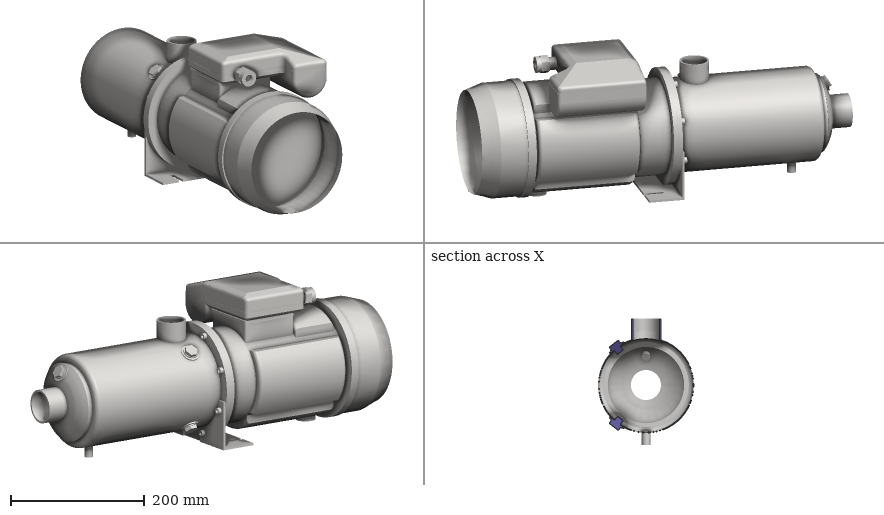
import cadquery as cq
import math

base_z = -90.0

inlet_diameter = 50.8
inlet_bore = 44.84
dome_start = 31.2
dome_middle = (36.8, 45.0)
dome_end = 46.5
dome_radius = 59.7
collar_radius = 58.6
barrel_start = 54.0
barrel_radius = 71.6
barrel_edge_radius = 7.3
barrel_bore = 140.0
barrel_wall = barrel_radius - barrel_bore / 2
casing_flange_start = 278.2
casing_flange_end = 286.8
flange_diameter = 176.5
outlet_x = 238.1
outlet_diameter = 44.5
outlet_bore = 38.95
outlet_top = 99.5
drain_x = 88.0
drain_diameter = 13.0

screw_count = 8
screw_circle_radius = 80.7
screw_head_diameter = 10.0
screw_head_length = 5.3
screw_shank_diameter = 7.0
screw_socket_width = 5.0
screw_socket_depth = 3.0

plug_washer_diameter = 27.5
plug_washer_length = 2.0
plug_collar_diameter = 21.0
plug_collar_length = 1.5
plug_hex_corners = 20.4
plug_hex_length = 5.0
plug_shank_diameter = 13.0
plug_shank_length = 8.0
plug_seat_depth = 1.0
side_plug_x = 241.5
side_plug_angle = 52.0
dome_plug_seat = (37.8, 46.5)
dome_plug_tilt = 32.0

bracket_thickness = 3.5
bracket_half_width = 84.4
bracket_top = -15.4
bracket_bore_radius = 73.5
bracket_foot_end = 329.3
foot_slot_width = 7.0
foot_slot_y = 53.0
foot_slot_length = 30.0
window_width = 45.0
window_top = -77.7

adapter_flange_end = 292.2
adapter_radius = 73.0
adapter_end = 340.0
neck_radius = 72.0
panel_start = 342.3
panel_end = 498.8
panel_half_width = 48.2
panel_crown = 83.8
panel_edge_height = 67.0
panel_end_fillet = 5.5
pad_x = 481.5
pad_diameter = 30.0
pad_neck_diameter = 10.0

pedestal_end = 430.5
pedestal_half_width = 44.0
pedestal_corner = 3.5
pedestal_top = 86.5
pedestal_lip = 1.2
box_start = 340.4
box_end = 447.3
box_front = -49.0
box_back = 114.75
box_bottom = 91.0
box_seam = 106.3
box_top = 131.0
box_corner = 6.0
box_bottom_chamfer = 5.0
wing_end = 478.0
wing_front = 56.5
plateau = (351.8, 435.0, -33.3, 56.0)
roof_drop = 17.0
roof_near_slope = 0.36
wing_round_z = 88.5
wing_edge_fillet = 4.5
seam_width = 1.8
seam_depth = 0.4

gland_y = -20.8
gland_z = 106.0
gland_diameter = 19.73
gland_hex_start = 459.0
gland_hex_width = 24.4
gland_hex_end = 470.7
gland_end = 478.3
gland_bore = 12.0

cover_start = 504.2
cover_ring_diameter = 178.6
cover_ring_end = 516.6
cover_diameter = 174.1
cover_taper_start = 558.4
cover_end = 585.6
cover_end_radius = 78.2
drip_lug_tip = 587.1
drip_lug_diameter = 3.0


def rod(x_from, x_to, diameter, y=0.0, z=0.0):
    """Cylinder along X."""
    return cq.Workplane("YZ", origin=(x_from, y, z)).circle(diameter / 2).extrude(x_to - x_from)


def block(x_from, x_to, y_from, y_to, z_from, z_to):
    """Axis-aligned block between the given limits."""
    size = (x_to - x_from, y_to - y_from, z_to - z_from)
    return cq.Workplane("XY", origin=(x_from, y_from, z_from)).box(*size, centered=False)


def hexagon_rod(plane, width, length):
    """Hexagonal prism, given its width across flats."""
    return cq.Workplane(plane).polygon(6, width / math.cos(math.pi / 6)).extrude(length)



def make_plug(seat_point, outward, corner_direction):
    """Plug on the casing; corner_direction points from its axis to a corner of the hexagon."""
    seat = cq.Vector(*seat_point) - cq.Vector(*outward) * plug_seat_depth
    plane = cq.Plane(origin=seat.toTuple(), xDir=corner_direction, normal=outward)
    collar_end = plug_washer_length + plug_collar_length
    shank = cq.Workplane(plane).circle(plug_shank_diameter / 2).extrude(-plug_shank_length)
    washer = cq.Workplane(plane).circle(plug_washer_diameter / 2).extrude(plug_washer_length)
    collar = cq.Workplane(plane).circle(plug_collar_diameter / 2).extrude(collar_end)
    head = cq.Workplane(plane).polygon(6, plug_hex_corners).extrude(collar_end + plug_hex_length)
    return shank.union(washer).union(collar).union(head)


def make_plugs():
    tilt = math.radians(dome_plug_tilt)
    seat_x, seat_z = dome_plug_seat
    outward = (-math.cos(tilt), 0, math.sin(tilt))
    placed = [make_plug((seat_x, 0, seat_z), outward, (math.sin(tilt), 0, math.cos(tilt)))]
    for side in (1, -1):
        angle = math.radians(side * side_plug_angle)
        outward = (0, -math.cos(angle), math.sin(angle))
        seat = (side_plug_x, outward[1] * barrel_radius, outward[2] * barrel_radius)
        placed.append(make_plug(seat, outward, (1, 0, 0)))
    return placed



def screw_places():
    for index in range(screw_count):
        angle = math.radians((index + 0.5) * 360 / screw_count)
        yield screw_circle_radius * math.cos(angle), screw_circle_radius * math.sin(angle)


def make_screw(y, z):
    """Socket-head screw whose shank passes through the bracket where the bracket lies under it."""
    under_head = casing_flange_start
    if z < bracket_top:
        under_head -= bracket_thickness
    head_end = under_head - screw_head_length
    head = rod(head_end, under_head, screw_head_diameter, y, z)
    socket_plane = cq.Plane(origin=(head_end, y, z), xDir=(0, 1, 0), normal=(1, 0, 0))
    socket = hexagon_rod(socket_plane, screw_socket_width, screw_socket_depth)
    shank = rod(under_head, casing_flange_end, screw_shank_diameter, y, z)
    return head.cut(socket).union(shank)


def make_shell():
    wall = barrel_wall
    rounding_middle = barrel_edge_radius * (1 - math.sqrt(0.5))
    dome_x, dome_z = dome_middle
    profile = (
        cq.Workplane("XY")
        .moveTo(0, inlet_bore / 2)
        .lineTo(0, inlet_diameter / 2)
        .lineTo(dome_start, inlet_diameter / 2)
        .threePointArc((dome_x, dome_z), (dome_end, dome_radius))
        .lineTo(dome_end, collar_radius)
        .lineTo(barrel_start, collar_radius)
        .lineTo(barrel_start, barrel_radius - barrel_edge_radius)
        .threePointArc(
            (barrel_start + rounding_middle, barrel_radius - rounding_middle),
            (barrel_start + barrel_edge_radius, barrel_radius),
        )
        .lineTo(casing_flange_start, barrel_radius)
        .lineTo(casing_flange_start, flange_diameter / 2)
        .lineTo(casing_flange_end, flange_diameter / 2)
        .lineTo(casing_flange_end, barrel_radius - wall)
        .lineTo(barrel_start + barrel_edge_radius, barrel_radius - wall)
        .threePointArc(
            (barrel_start + rounding_middle + wall, barrel_radius - rounding_middle - wall),
            (barrel_start + wall, barrel_radius - barrel_edge_radius),
        )
        .lineTo(barrel_start + wall, collar_radius - wall)
        .lineTo(dome_end + wall, collar_radius - wall)
        .threePointArc((dome_x + wall, dome_z - wall), (dome_start + wall, inlet_bore / 2))
        .close()
    )
    return profile.revolve(360, (0, 0, 0), (1, 0, 0))


def make_casing(plugs):
    bore = rod(barrel_start, casing_flange_end, barrel_bore)
    outlet = cq.Workplane("XY", origin=(outlet_x, 0, 0)).circle(outlet_diameter / 2).extrude(outlet_top)
    outlet_hole = cq.Workplane("XY", origin=(outlet_x, 0, 0)).circle(outlet_bore / 2).extrude(outlet_top)
    drain = cq.Workplane("XY", origin=(drain_x, 0, base_z)).circle(drain_diameter / 2).extrude(-base_z)
    casing = make_shell().union(outlet.cut(bore)).cut(outlet_hole).union(drain.cut(bore))
    for y, z in screw_places():
        casing = casing.union(make_screw(y, z))
    for plug in plugs:
        casing = casing.cut(plug)
    return casing



def make_foot_slot(slot_y):
    """Slot that is open at the far end of the foot and round at its inner end."""
    slot_start = bracket_foot_end - foot_slot_length
    half_width = foot_slot_width / 2
    straight_start = slot_start + half_width
    straight = block(straight_start, bracket_foot_end, slot_y - half_width, slot_y + half_width, base_z, 0)
    end = cq.Workplane("XY", origin=(straight_start, slot_y, base_z)).circle(half_width).extrude(-base_z)
    return straight.union(end)


def make_bracket():
    plate_start = casing_flange_start - bracket_thickness
    half = bracket_half_width
    bracket = block(plate_start, casing_flange_start, -half, half, base_z, bracket_top)
    bracket = bracket.cut(rod(plate_start, casing_flange_start, 2 * bracket_bore_radius))
    foot = block(plate_start, bracket_foot_end, -half, half, base_z, base_z + bracket_thickness)
    for slot_y in (-foot_slot_y, foot_slot_y):
        foot = foot.cut(make_foot_slot(slot_y))
    bracket = bracket.union(foot)
    window = block(plate_start, casing_flange_start, -window_width / 2, window_width / 2, base_z, window_top)
    bracket = bracket.cut(window)
    for y, z in screw_places():
        if z < bracket_top:
            bracket = bracket.cut(rod(plate_start, casing_flange_start, screw_shank_diameter, y, z))
    return bracket



def make_panel(start):
    """Raised panel on the top of the frame, from the given X on, crowned across its width."""
    panel = (
        cq.Workplane("YZ", origin=(start, 0, 0))
        .moveTo(-panel_half_width, 0)
        .lineTo(-panel_half_width, panel_edge_height)
        .threePointArc((0, panel_crown), (panel_half_width, panel_edge_height))
        .lineTo(panel_half_width, 0)
        .close()
        .extrude(panel_end - start)
    )
    crown = cq.selectors.NearestToPointSelector
    panel = panel.edges(crown((start, 0, panel_crown))).fillet(panel_end_fillet)
    return panel.edges(crown((panel_end, 0, panel_crown))).fillet(panel_end_fillet)


def make_frame():
    frame = rod(casing_flange_end, adapter_flange_end, flange_diameter)
    frame = frame.union(rod(adapter_flange_end, adapter_end, 2 * adapter_radius))
    frame = frame.union(rod(adapter_end, cover_start, 2 * neck_radius))
    frame = frame.union(make_panel(pedestal_end))
    panel = make_panel(panel_start)
    for turn in (1, 2, 3):
        frame = frame.union(panel.rotate((0, 0, 0), (1, 0, 0), 90 * turn))
    return frame


def make_rear_pad():
    foot = cq.Workplane("XY", origin=(pad_x, 0, base_z))
    pad = foot.circle(pad_diameter / 2).extrude(bracket_thickness)
    neck = foot.circle(pad_neck_diameter / 2).extrude(-base_z - neck_radius)
    return pad.union(neck)


def make_pedestal():
    half = pedestal_half_width
    pedestal = block(panel_start, pedestal_end, -half, half, 0, pedestal_top)
    pedestal = pedestal.edges("|Z").fillet(pedestal_corner)
    lip = block(panel_start - pedestal_lip, pedestal_end, -half - pedestal_lip, half + pedestal_lip,
                pedestal_top, box_bottom)
    return pedestal.union(lip.edges("|Z").fillet(pedestal_corner))


def box_plan(z_from, z_to, inset=0.0):
    """L-shaped prism of the terminal box: the main part and the wing that reaches farther along X."""
    main = block(box_start + inset, box_end - inset, box_front + inset, box_back - inset, z_from, z_to)
    wing = block(box_start + inset, wing_end - inset, wing_front + inset, box_back - inset, z_from, z_to)
    return main.union(wing)


def make_roof_limit():
    """Hipped roof: a flat plateau that falls to all four sides, on a block that reaches below the wing."""
    x_from, x_to, y_from, y_to = plateau
    reach = roof_drop / roof_near_slope
    eaves_z = box_top - roof_drop
    eaves = (x_from - reach, wing_end, y_from - reach, box_back)

    def rectangle(limits, z):
        left, right, front, back = limits
        corners = [(left, front, z), (right, front, z), (right, back, z), (left, back, z)]
        return cq.Wire.makePolygon([cq.Vector(*corner) for corner in corners], close=True)

    roof = cq.Solid.makeLoft([rectangle(eaves, eaves_z), rectangle(plateau, box_top)], True)
    return block(*eaves, 0, eaves_z).union(cq.Workplane(roof))


def make_lid():
    """Upper part of the box, rounded along its upright edges and along the rim of its roof."""
    lid = box_plan(box_seam, box_top).intersect(make_roof_limit())
    walls = [face for face in lid.faces().vals() if abs(face.normalAt().z) < 0.001]
    edges = [edge for wall in walls for edge in wall.Edges() if edge.BoundingBox().zmax > box_seam + seam_width]
    return lid.newObject(edges).fillet(box_corner)


def make_box():
    tray_top = box_seam - seam_width
    tray = box_plan(box_bottom, tray_top).edges("|Z").fillet(box_corner)
    tray = tray.faces("<Z").edges().chamfer(box_bottom_chamfer)
    seam = box_plan(tray_top, box_seam, seam_depth).edges("|Z").fillet(box_corner)
    return tray.union(seam).union(make_lid()).union(make_wing_belly())


def make_wing_belly():
    """Half-round housing that hangs below the wing, with its round axis along X."""
    radius = (box_back - wing_front) / 2
    wing_middle = (box_back + wing_front) / 2
    belly = (
        cq.Workplane("YZ", origin=(box_start, 0, 0))
        .moveTo(wing_front, box_seam - seam_width)
        .lineTo(wing_front, wing_round_z)
        .threePointArc((wing_middle, wing_round_z - radius), (box_back, wing_round_z))
        .lineTo(box_back, box_seam - seam_width)
        .close()
        .extrude(wing_end - box_start)
    )
    ends = [edge for edge in belly.faces("<X or >X").edges().vals() if edge.Center().z < box_seam - 2 * seam_width]
    return belly.newObject(ends).fillet(wing_edge_fillet)


def make_gland():
    gland = rod(box_end - box_corner, gland_hex_start, gland_diameter, gland_y, gland_z)
    plane = cq.Plane(origin=(gland_hex_start, gland_y, gland_z), xDir=(0, 0, 1), normal=(1, 0, 0))
    gland = gland.union(hexagon_rod(plane, gland_hex_width, gland_hex_end - gland_hex_start))
    cap = rod(gland_hex_end, gland_end, gland_hex_width, gland_y, gland_z)
    cap_bore = rod(gland_hex_end, gland_end, gland_bore, gland_y, gland_z)
    return gland.union(cap.cut(cap_bore))


def make_motor():
    motor = make_frame()
    for part in (make_rear_pad(), make_pedestal(), make_box(), make_gland()):
        motor = motor.union(part)
    return motor



def make_fan_cover():
    cover = (
        cq.Workplane("XY")
        .moveTo(cover_start, 0)
        .lineTo(cover_start, cover_ring_diameter / 2)
        .lineTo(cover_ring_end, cover_ring_diameter / 2)
        .lineTo(cover_ring_end, cover_diameter / 2)
        .lineTo(cover_taper_start, cover_diameter / 2)
        .lineTo(cover_end, cover_end_radius)
        .lineTo(cover_end, 0)
        .close()
        .revolve(360, (0, 0, 0), (1, 0, 0))
    )
    lug_z = drip_lug_diameter / 2 - cover_end_radius
    return cover.union(rod(cover_taper_start, drip_lug_tip, drip_lug_diameter, 0, lug_z))


plugs = make_plugs()
casing = make_casing(plugs)
bracket = make_bracket()
motor = make_motor()
fan_cover = make_fan_cover()

result = cq.Compound.makeCompound(
    [casing.val(), *[plug.val() for plug in plugs], bracket.val(), motor.val(), fan_cover.val()]
)